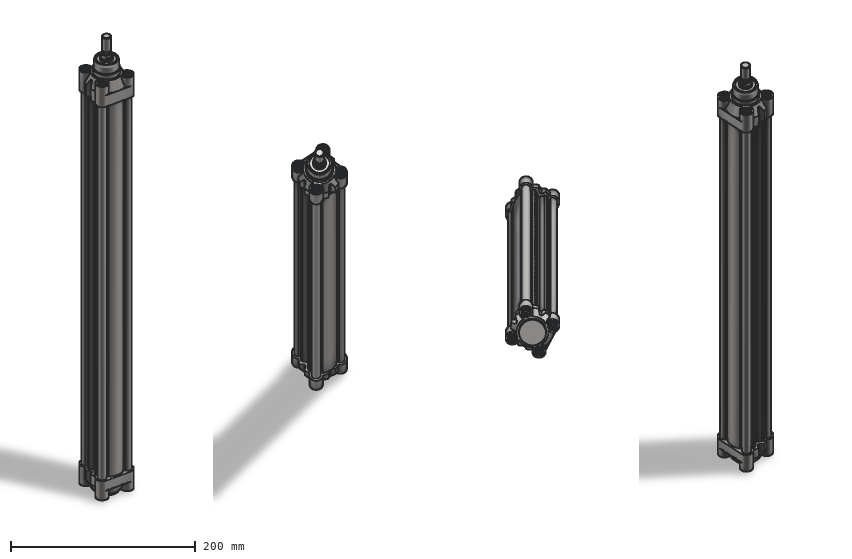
import cadquery as cq
import math

TOTAL_LENGTH = 596
REAR_COLLAR_HEIGHT = 4.0
REAR_CAP_TOP = 29.0
FRONT_CAP_BOTTOM = 522.0
FRONT_CAP_TOP = 549.0
FRONT_COLLAR_TOP = 566
ROD_SHOULDER = 573.5
TUBE_LENGTH = FRONT_CAP_BOTTOM - REAR_CAP_TOP

CAP_WIDTH = 47.0
SCREW_PITCH = 32.0
CAP_POST_RADIUS = (CAP_WIDTH - SCREW_PITCH) / 2
CAP_CONE_RADIUS = 17.0
CAP_CONE_HEIGHT = 12

GROOVE_WIDTH = 9.5
GROOVE_FLOOR_WIDTH = 2.5
GROOVE_DEPTH = 4.0
GROOVE_OVERCUT = 3.0

COUNTERBORE_DIAMETER = 11.0
COUNTERBORE_DEPTH = 1.0
SCREW_HEAD_DIAMETER = 8.0
SCREW_HOLE_DIAMETER = 4.0
SCREW_HOLE_DEPTH = 6
DRILL_POINT_ANGLE = 118

COLLAR_DIAMETER = 30
COLLAR_NECK_DIAMETER = 28.0
COLLAR_STEP_HEIGHT = 5.5
COLLAR_STEP_CHAMFER = 0.9
COLLAR_TAPER = 0.9
COLLAR_TAPER_HEIGHT = 3.0
REAR_COLLAR_TAPER = 0.5
SEAL_SEAT_DIAMETER = 22.0
SEAL_SEAT_DEPTH = 0.5
WIPER_DIAMETER = 14.5
WIPER_HEIGHT = 2.0

TUBE_WIDTH = 42.5
TUBE_POST_RADIUS = (TUBE_WIDTH - SCREW_PITCH) / 2
TUBE_SLOT_WIDTH = 14.0
TUBE_SLOT_FLOOR = 19.0
RELIEF_WIDTH = 3.0
RELIEF_OFFSET = 11.0
RELIEF_FLOOR = 16.5

ROD_DIAMETER = 12
THREAD_DIAMETER = 10.0
THREAD_LENGTH = 19.0
THREAD_CHAMFER = 0.9
UNDERCUT_DIAMETER = 8.0
FLATS_WIDTH = 10.0
FLATS_LENGTH = 3.5


def revolved(profile):
    """Solid of revolution about Z from (radius, z) points."""
    return cq.Workplane("XZ").polyline(profile).close().revolve(360, (0, 0), (0, 1))


def disc(diameter, bottom, top):
    """Cylinder about the Z axis between two heights."""
    return cq.Workplane("XY", origin=(0, 0, bottom)).circle(diameter / 2).extrude(top - bottom)


def turned(shape, angle):
    """The shape rotated about the Z axis."""
    return shape.rotate((0, 0, 0), (0, 0, 1), angle)


def screw_axes(bottom=0):
    """Workplane with one point on each of the four tie screw axes."""
    plane = cq.Workplane("XY", origin=(0, 0, bottom))
    return plane.rect(SCREW_PITCH, SCREW_PITCH, forConstruction=True).vertices()


def side_groove(mouth_y, length):
    """Tapered groove cutter along Z in the -Y side, with its mouth at y = -mouth_y."""
    half_mouth = GROOVE_WIDTH / 2
    half_floor = GROOVE_FLOOR_WIDTH / 2
    flare = (half_mouth - half_floor) / GROOVE_DEPTH * GROOVE_OVERCUT
    outer_y = -mouth_y - GROOVE_OVERCUT
    floor_y = -mouth_y + GROOVE_DEPTH
    outline = [
        (-half_mouth - flare, outer_y),
        (half_mouth + flare, outer_y),
        (half_floor, floor_y),
        (-half_floor, floor_y),
    ]
    return cq.Workplane("XY").polyline(outline).close().extrude(length)


def side_channel(x, width, floor):
    """Square channel cutter along the tube in its -Y side, with its floor at y = -floor."""
    depth = TUBE_WIDTH / 2 - floor
    return cq.Workplane("XY", origin=(x, -TUBE_WIDTH / 2, 0)).box(
        width, 2 * depth, TUBE_LENGTH, centered=(True, True, False)
    )


def cut_screw_ends(cap, height):
    """Cut a ring around each tie screw head and a blind drilled hole in its centre."""
    ring_floor = height - COUNTERBORE_DEPTH
    rings = (
        screw_axes(ring_floor)
        .circle(COUNTERBORE_DIAMETER / 2)
        .circle(SCREW_HEAD_DIAMETER / 2)
        .extrude(COUNTERBORE_DEPTH)
    )
    hole_radius = SCREW_HOLE_DIAMETER / 2
    hole_floor = height - SCREW_HOLE_DEPTH
    point_height = hole_radius / math.tan(math.radians(DRILL_POINT_ANGLE / 2))
    hole = revolved(
        [
            (0, height),
            (hole_radius, height),
            (hole_radius, hole_floor),
            (0, hole_floor - point_height),
        ]
    ).val()
    holes = screw_axes().eachpoint(lambda location: hole.moved(location), combine=True)
    return cap.cut(rings).cut(holes)


def cap_block(height):
    """Cap standing on z = 0, with its tapered outer end at z = height."""
    half_width = CAP_WIDTH / 2
    cone_base = height - CAP_CONE_HEIGHT
    cap = revolved(
        [
            (0, 0),
            (half_width, 0),
            (half_width, cone_base),
            (CAP_CONE_RADIUS, height),
            (0, height),
        ]
    )
    for angle in (0, -90, -180):
        cap = cap.cut(turned(side_groove(half_width, height), angle))
    flat_side = cq.Workplane("XY").box(half_width, SCREW_PITCH, cone_base, centered=(False, True, False))
    posts = screw_axes().circle(CAP_POST_RADIUS).extrude(height)
    return cut_screw_ends(cap.union(flat_side).union(posts), height)


def make_front_cap():
    height = FRONT_CAP_TOP - FRONT_CAP_BOTTOM
    collar_top = FRONT_COLLAR_TOP - FRONT_CAP_BOTTOM
    step = height + COLLAR_STEP_HEIGHT
    collar_radius = COLLAR_DIAMETER / 2
    neck_radius = COLLAR_NECK_DIAMETER / 2
    collar = revolved(
        [
            (0, height),
            (collar_radius, height),
            (collar_radius, step),
            (neck_radius, step + COLLAR_STEP_CHAMFER),
            (neck_radius, collar_top - COLLAR_TAPER_HEIGHT),
            (neck_radius - COLLAR_TAPER, collar_top),
            (0, collar_top),
        ]
    )
    seat_floor = collar_top - SEAL_SEAT_DEPTH
    wiper_top = collar_top + WIPER_HEIGHT
    cap = cap_block(height).union(collar)
    cap = cap.cut(disc(SEAL_SEAT_DIAMETER, seat_floor, collar_top))
    cap = cap.union(disc(WIPER_DIAMETER, seat_floor, wiper_top))
    cap = cap.cut(disc(ROD_DIAMETER, 0, wiper_top))
    return cap.translate((0, 0, FRONT_CAP_BOTTOM))


def make_rear_cap():
    height = REAR_CAP_TOP - REAR_COLLAR_HEIGHT
    collar = disc(COLLAR_DIAMETER, height, REAR_CAP_TOP)
    collar = collar.faces(">Z").chamfer(COLLAR_TAPER_HEIGHT, REAR_COLLAR_TAPER)
    cap = cap_block(height).union(collar)
    return cap.rotate((0, 0, 0), (1, 0, 0), 180).translate((0, 0, REAR_CAP_TOP))


def make_tube():
    posts = screw_axes().circle(TUBE_POST_RADIUS).extrude(TUBE_LENGTH)
    tube = disc(TUBE_WIDTH, 0, TUBE_LENGTH).union(posts)
    slot = side_channel(0, TUBE_SLOT_WIDTH, TUBE_SLOT_FLOOR)
    groove = side_groove(TUBE_SLOT_FLOOR, TUBE_LENGTH)
    for angle in (0, 180):
        tube = tube.cut(turned(slot, angle)).cut(turned(groove, angle))
    for angle in (0, 90, 180, 270):
        for offset in (-RELIEF_OFFSET, RELIEF_OFFSET):
            relief = side_channel(offset, RELIEF_WIDTH, RELIEF_FLOOR)
            tube = tube.cut(turned(relief, angle))
    return tube.translate((0, 0, REAR_CAP_TOP))


def make_rod():
    rod_radius = ROD_DIAMETER / 2
    thread_radius = THREAD_DIAMETER / 2
    undercut_radius = UNDERCUT_DIAMETER / 2
    thread_bottom = TOTAL_LENGTH - THREAD_LENGTH
    rod = revolved(
        [
            (0, FRONT_CAP_BOTTOM),
            (rod_radius, FRONT_CAP_BOTTOM),
            (rod_radius, ROD_SHOULDER),
            (undercut_radius, ROD_SHOULDER),
            (undercut_radius, thread_bottom),
            (thread_radius, thread_bottom),
            (thread_radius, TOTAL_LENGTH - THREAD_CHAMFER),
            (thread_radius - THREAD_CHAMFER, TOTAL_LENGTH),
            (0, TOTAL_LENGTH),
        ]
    )
    flat_depth = (ROD_DIAMETER - FLATS_WIDTH) / 2
    flats_bottom = ROD_SHOULDER - FLATS_LENGTH
    for x in (-rod_radius, rod_radius):
        flat = cq.Workplane("XY", origin=(x, 0, flats_bottom)).box(
            2 * flat_depth, ROD_DIAMETER, FLATS_LENGTH, centered=(True, True, False)
        )
        rod = rod.cut(flat)
    return rod


front_cap = make_front_cap()
tube = make_tube()
rear_cap = make_rear_cap()
rod = make_rod()

bodies = [front_cap, tube, rear_cap, rod]
result = cq.Compound.makeCompound([body.solids().val() for body in bodies])